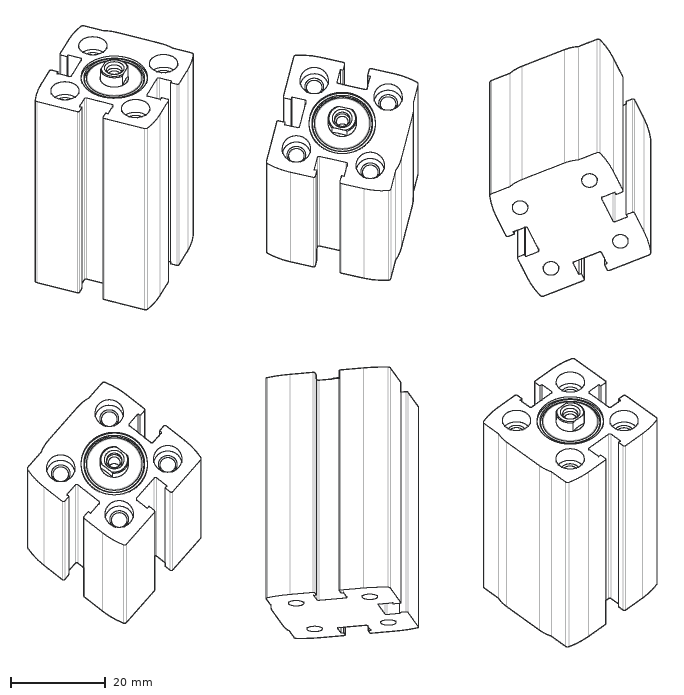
import cadquery as cq
import math

TOTAL_HEIGHT = 52.0
WIDTH = 27.0
HALF_WIDTH = WIDTH / 2
ROD_PROTRUSION = 2.5
BODY_HEIGHT = TOTAL_HEIGHT - ROD_PROTRUSION

FLAT_SIDE_HALF = 8.0
SIDE_ARC_RADIUS = 17.4
CORNER_RADIUS = 0.55
CROWN_HEIGHT = 0.5
CROWN_TOP_HALF = 4.95
CROWN_BASE_HALF = 7.9

SLOT_MOUTH_WIDTH = 5.3
SLOT_INNER_WIDTH = 6.5
SLOT_LIP = 1.75
SLOT_DEPTH = 4.95
SLOT_FILLET = 0.35
SLOT_ANGLES = (-90, 0, 90)

BOLT_OFFSET = 8.0
BOLT_HOLE_DIAMETER = 3.3
BOLT_CHAMFER_DIAMETER = 3.95
COUNTERBORE_DIAMETER = 6.0
COUNTERBORE_DEPTH = 3.5

COLLAR_DIAMETER = 14.0
COLLAR_RIM_DEPTH = 0.55
RIDGE_DIAMETER = 12.85
GROOVE_DIAMETER = 12.5
GROOVE_DEPTH = 0.55
SHOULDER_DIAMETER = 11.75
SHOULDER_DEPTH = 0.3
COLLAR_TOP_DIAMETER = 11.4
COLLAR_TOP_DEPTH = 0.25

ROD_DIAMETER = 6.0
ROD_FLAT_WIDTH = 5.0
ROD_EMBEDDED_LENGTH = 26.0
ROD_CHAMFER = 0.2
SOCKET_MOUTH_DIAMETER = 4.15
SOCKET_DIAMETER = 3.2
SOCKET_DEPTH = 1.4
DRILL_DIAMETER = 2.45
DRILL_DEPTH = 6.0
DRILL_TIP_ANGLE = 120.0


def arc_drop(run, radius):
    """How far an arc falls away from its tangent line over a given run along that line."""
    return radius - math.sqrt(radius**2 - run**2)


def turn(outline):
    """Solid of revolution about the Z axis from (radius, height) points."""
    return cq.Workplane("XZ").polyline(outline).close().revolve(360, (0, 0, 0), (0, 1, 0))


def make_extrusion():
    """Plain profile block: flat front, bulged sides and a crowned back."""
    side_run = HALF_WIDTH - FLAT_SIDE_HALF
    corner_x = HALF_WIDTH - arc_drop(side_run, SIDE_ARC_RADIUS)
    side_mid_x = HALF_WIDTH - arc_drop(side_run / 2, SIDE_ARC_RADIUS)
    side_mid_y = FLAT_SIDE_HALF + side_run / 2

    crown_run = CROWN_BASE_HALF - CROWN_TOP_HALF
    crown_y = HALF_WIDTH + CROWN_HEIGHT
    crown_radius = (crown_run**2 + CROWN_HEIGHT**2) / (2 * CROWN_HEIGHT)
    crown_mid_x = CROWN_TOP_HALF + crown_run / 2
    crown_mid_y = crown_y - arc_drop(crown_run / 2, crown_radius)

    block = (
        cq.Workplane("XY")
        .moveTo(0, -HALF_WIDTH)
        .lineTo(corner_x, -HALF_WIDTH)
        .threePointArc((side_mid_x, -side_mid_y), (HALF_WIDTH, -FLAT_SIDE_HALF))
        .lineTo(HALF_WIDTH, FLAT_SIDE_HALF)
        .threePointArc((side_mid_x, side_mid_y), (corner_x, HALF_WIDTH))
        .lineTo(CROWN_BASE_HALF, HALF_WIDTH)
        .threePointArc((crown_mid_x, crown_mid_y), (CROWN_TOP_HALF, crown_y))
        .lineTo(0, crown_y)
        .mirrorY()
        .extrude(BODY_HEIGHT)
    )
    corners = block.edges("|Z").filter(lambda edge: abs(abs(edge.Center().x) - corner_x) < CORNER_RADIUS)
    return corners.fillet(CORNER_RADIUS)


def make_slot():
    """Cutter for the T-slot in the -Y side, with a rounded mouth and rounded floor corners."""
    face_y = -HALF_WIDTH
    lip_y = face_y + SLOT_LIP
    floor_y = face_y + SLOT_DEPTH
    mouth_x = SLOT_MOUTH_WIDTH / 2
    inner_x = SLOT_INNER_WIDTH / 2
    diagonal = SLOT_FILLET * (1 - math.sqrt(0.5))
    return (
        cq.Workplane("XY")
        .moveTo(0, face_y)
        .lineTo(mouth_x + SLOT_FILLET, face_y)
        .threePointArc((mouth_x + diagonal, face_y + diagonal), (mouth_x, face_y + SLOT_FILLET))
        .lineTo(mouth_x, lip_y)
        .lineTo(inner_x, lip_y)
        .lineTo(inner_x, floor_y - SLOT_FILLET)
        .threePointArc((inner_x - diagonal, floor_y - diagonal), (inner_x - SLOT_FILLET, floor_y))
        .lineTo(0, floor_y)
        .mirrorY()
        .extrude(BODY_HEIGHT)
    )


def make_bolt_holes():
    """Cutter for the four through holes, counterbored at the top with a chamfered step."""
    floor_z = BODY_HEIGHT - COUNTERBORE_DEPTH
    hole_radius = BOLT_HOLE_DIAMETER / 2
    chamfer_radius = BOLT_CHAMFER_DIAMETER / 2
    bore_radius = COUNTERBORE_DIAMETER / 2
    hole = turn([
        (0, 0),
        (hole_radius, 0),
        (hole_radius, floor_z - (chamfer_radius - hole_radius)),
        (chamfer_radius, floor_z),
        (bore_radius, floor_z),
        (bore_radius, BODY_HEIGHT),
        (0, BODY_HEIGHT),
    ]).val()
    return (
        cq.Workplane("XY")
        .rect(2 * BOLT_OFFSET, 2 * BOLT_OFFSET, forConstruction=True)
        .vertices()
        .eachpoint(lambda place: hole.moved(place), combine=False)
    )


def make_collar_recess():
    """Cutter for the sunken collar face, its ring groove and its sloping rim."""
    collar_top_z = BODY_HEIGHT - COLLAR_TOP_DEPTH
    return turn([
        (0, collar_top_z),
        (COLLAR_TOP_DIAMETER / 2, collar_top_z),
        (SHOULDER_DIAMETER / 2, BODY_HEIGHT - SHOULDER_DEPTH),
        (GROOVE_DIAMETER / 2, BODY_HEIGHT - GROOVE_DEPTH),
        (RIDGE_DIAMETER / 2, collar_top_z),
        (COLLAR_DIAMETER / 2, BODY_HEIGHT - COLLAR_RIM_DEPTH),
        (COLLAR_DIAMETER / 2, BODY_HEIGHT),
        (0, BODY_HEIGHT),
    ])


def make_rod_bore():
    """Blind cutter for the hole in which the rod sits."""
    return (
        cq.Workplane("XY")
        .workplane(offset=BODY_HEIGHT - ROD_EMBEDDED_LENGTH)
        .circle(ROD_DIAMETER / 2)
        .extrude(ROD_EMBEDDED_LENGTH)
    )


def make_housing():
    """Slotted profile block with its bolt holes, sunken collar and rod bore."""
    housing = make_extrusion()
    slot = make_slot()
    for angle in SLOT_ANGLES:
        housing = housing.cut(slot.rotate((0, 0, 0), (0, 0, 1), angle))
    return housing.cut(make_bolt_holes()).cut(make_collar_recess()).cut(make_rod_bore())


def make_socket():
    """Cutter for the drilled socket in the rod end, with a stepped and pointed bore."""
    mouth_radius = SOCKET_MOUTH_DIAMETER / 2
    socket_radius = SOCKET_DIAMETER / 2
    drill_radius = DRILL_DIAMETER / 2
    tip_height = drill_radius / math.tan(math.radians(DRILL_TIP_ANGLE / 2))
    socket_z = TOTAL_HEIGHT - SOCKET_DEPTH
    drill_z = TOTAL_HEIGHT - DRILL_DEPTH
    return turn([
        (0, drill_z - tip_height),
        (drill_radius, drill_z),
        (drill_radius, socket_z - (socket_radius - drill_radius)),
        (socket_radius, socket_z),
        (socket_radius, TOTAL_HEIGHT - (mouth_radius - socket_radius)),
        (mouth_radius, TOTAL_HEIGHT),
        (0, TOTAL_HEIGHT),
    ])


def make_rod():
    """Round rod with two wrench flats that end in a conical shoulder at the collar face."""
    rod_length = ROD_PROTRUSION + ROD_EMBEDDED_LENGTH
    rod_bottom_z = BODY_HEIGHT - ROD_EMBEDDED_LENGTH
    rod_radius = ROD_DIAMETER / 2
    base = cq.Workplane("XY").workplane(offset=rod_bottom_z)
    bar = base.circle(rod_radius).extrude(rod_length).faces(">Z").chamfer(ROD_CHAMFER)
    flat_band = base.rect(ROD_FLAT_WIDTH, ROD_DIAMETER).extrude(rod_length)
    round_shank = turn([
        (0, rod_bottom_z),
        (rod_radius, rod_bottom_z),
        (rod_radius, BODY_HEIGHT - COLLAR_TOP_DEPTH),
        (ROD_FLAT_WIDTH / 2, BODY_HEIGHT),
        (0, BODY_HEIGHT),
    ])
    return bar.intersect(flat_band).union(round_shank).cut(make_socket())


housing = make_housing()
rod = make_rod()

result = cq.Compound.makeCompound([housing.val(), rod.val()])